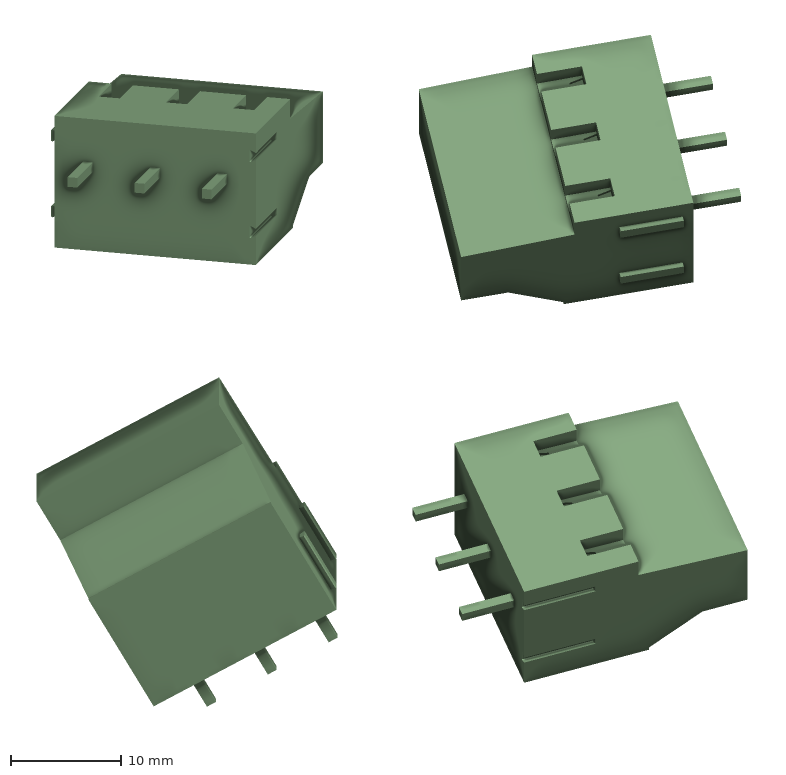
import cadquery as cq

pole_count = 3
pole_pitch = 6.35
housing_width = pole_count * pole_pitch
housing_length = 21.5
housing_height = 12.5

shoulder_y = 11.0
shoulder_z = 10.65
rear_top_z = 10.1
rear_bottom_z = 3.3
rear_floor_start_y = 17.15
base_end_y = 12.0
base_lip_z = 0.3

pin_size = 0.92
pin_length = 5.0
pin_embed = 1.0
pin_z = 7.95

window_width = 2.0
window_length = 4.17
window_ledge_length = 1.45
window_ledge_z = 11.0
window_front_z = 11.06

pocket_length = 1.28
pocket_front_width = 1.5
pocket_rear_width = 0.9
pocket_depth = 0.3

rail_heights = (3.1, 10.3)
rail_start_y = 1.0
rail_end_y = 6.85
rail_depth = 0.6
rail_lip_depth = 0.1
rail_outer_height = 1.02
rail_lip_height = 1.15
rail_neck_height = 0.66

pole_positions = [(index + 0.5) * pole_pitch for index in range(pole_count)]


def make_housing():
    """Stepped block with a tapered rear end."""
    profile = [
        (0, 0),
        (base_end_y, 0),
        (base_end_y, base_lip_z),
        (rear_floor_start_y, rear_bottom_z),
        (housing_length, rear_bottom_z),
        (housing_length, rear_top_z),
        (shoulder_y, shoulder_z),
        (shoulder_y, housing_height),
        (0, housing_height),
    ]
    return cq.Workplane("YZ").polyline(profile).close().extrude(housing_width)


def make_pin(pole_x):
    """Square pin on the front face, rooted inside the housing."""
    return (
        cq.Workplane("XZ", origin=(pole_x, pin_embed, pin_z))
        .rect(pin_size, pin_size)
        .extrude(pin_embed + pin_length)
    )


def make_window(pole_x):
    """Slot with a flat rear ledge and a front floor that rises slightly towards the pin face."""
    front_y = shoulder_y - window_length
    ledge_y = shoulder_y - window_ledge_length
    profile = [
        (shoulder_y, housing_height),
        (shoulder_y, window_ledge_z),
        (ledge_y, window_ledge_z),
        (front_y, window_front_z),
        (front_y, housing_height),
    ]
    return (
        cq.Workplane("YZ", origin=(pole_x - window_width / 2, 0, 0))
        .polyline(profile)
        .close()
        .extrude(window_width)
    )


def make_window_pocket(pole_x):
    """Shallow pocket against the front wall of the window, narrower at its rear."""
    front_y = shoulder_y - window_length
    rear_y = front_y + pocket_length
    outline = [
        (pole_x - pocket_front_width / 2, front_y),
        (pole_x + pocket_front_width / 2, front_y),
        (pole_x + pocket_rear_width / 2, rear_y),
        (pole_x - pocket_rear_width / 2, rear_y),
    ]
    bottom_z = window_front_z - pocket_depth
    return (
        cq.Workplane("XY", origin=(0, 0, bottom_z))
        .polyline(outline)
        .close()
        .extrude(housing_height - bottom_z)
    )


def make_dovetail(face_x, center_z, start_y, end_y):
    """Bar along Y that widens from face_x towards -X up to a bevelled outer lip."""
    outer_x = face_x - rail_depth
    lip_x = outer_x + rail_lip_depth
    upper_flank = [
        (face_x, rail_neck_height / 2),
        (lip_x, rail_lip_height / 2),
        (outer_x, rail_outer_height / 2),
    ]
    lower_flank = [(x, -z) for x, z in reversed(upper_flank)]
    return (
        cq.Workplane("XZ", origin=(0, end_y, center_z))
        .polyline(upper_flank + lower_flank)
        .close()
        .extrude(end_y - start_y)
    )


result = make_housing()
for pole_x in pole_positions:
    result = result.union(make_pin(pole_x))
    result = result.cut(make_window(pole_x))
    result = result.cut(make_window_pocket(pole_x))
for rail_z in rail_heights:
    result = result.union(make_dovetail(0, rail_z, rail_start_y, rail_end_y))
    result = result.cut(make_dovetail(housing_width, rail_z, 0, rail_end_y))